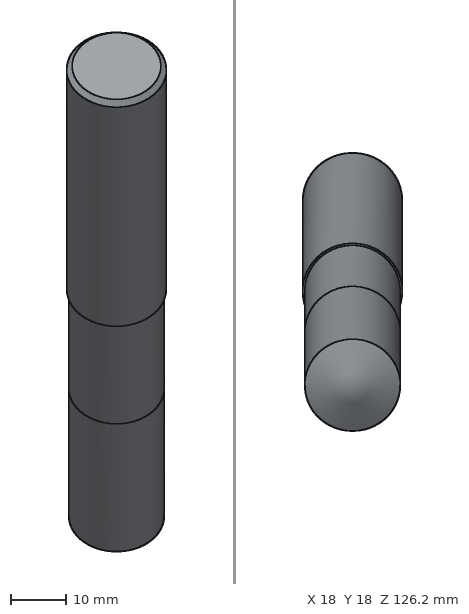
import cadquery as cq
import math

total_length = 126.2
shank_diameter = 18.0
drill_diameter = 17.3
point_angle = 140.0
cutting_length = 38.1
shoulder_height = 65.2
chamfer_width = 1.0

shank_radius = shank_diameter / 2
drill_radius = drill_diameter / 2
tip_height = drill_radius / math.tan(math.radians(point_angle / 2))


def make_cutting_section():
    """Solid of revolution: conical point below a plain cylinder."""
    return (
        cq.Workplane("XZ")
        .moveTo(0, 0)
        .lineTo(drill_radius, tip_height)
        .lineTo(drill_radius, cutting_length)
        .lineTo(0, cutting_length)
        .close()
        .revolve(360, (0, 0), (0, 1))
    )


def make_shank():
    """Neck seated on the cutting section, stepping out to the chamfered shank."""
    neck = (
        cq.Workplane("XY")
        .workplane(offset=cutting_length)
        .circle(drill_radius)
        .extrude(shoulder_height - cutting_length)
    )
    grip = (
        cq.Workplane("XY")
        .workplane(offset=shoulder_height)
        .circle(shank_radius)
        .extrude(total_length - shoulder_height)
        .faces(">Z")
        .chamfer(chamfer_width)
    )
    return neck.union(grip)


cutting_section = make_cutting_section()
shank = make_shank()

result = cq.Compound.makeCompound([cutting_section.val(), shank.val()])